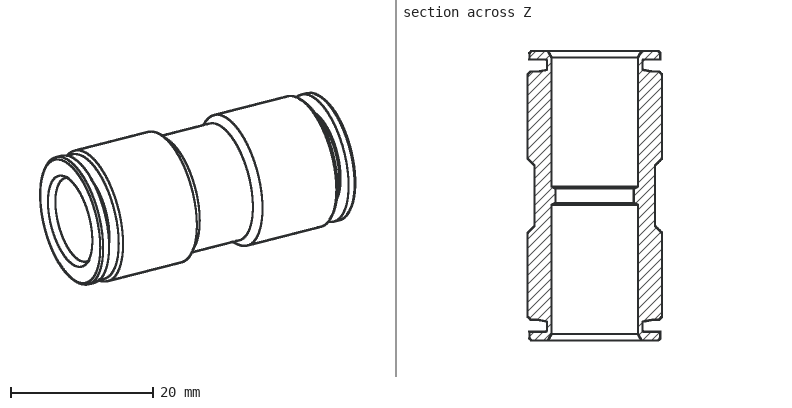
import cadquery as cq
import math

half_length = 40.8 / 2

waist_radius = 17.0 / 2
socket_radius = 19.0 / 2
waist_half_length = 4.25
shoulder_length = socket_radius - waist_radius
body_face_inset = 2.9
body_edge_chamfer = 0.45
crown_radius = 8.1
crown_height = 0.25

neck_radius = 13.5 / 2
flange_radius = 18.5 / 2
flange_thickness = 1.25
flange_chamfer = 0.3
flange_root_chamfer = 0.15

tube_radius = 12.15 / 2
stop_radius = 11.0 / 2
mouth_radius = 13.2 / 2
mouth_half_angle = 30.0
mouth_length = (mouth_radius - tube_radius) / math.tan(math.radians(mouth_half_angle))
stop_half_length = 1.0
stop_seat_angle = 30.0
stop_seat_length = (tube_radius - stop_radius) * math.tan(math.radians(stop_seat_angle))

shoulder_end = waist_half_length + shoulder_length
body_face = half_length - body_face_inset
crown_end = body_face + crown_height
flange_back = half_length - flange_thickness


def revolve_mirrored(half_profile):
    """Revolve about Y a (radius, y) profile given from the centre to the +Y end."""
    mirrored = [(radius, -y) for radius, y in reversed(half_profile)]
    profile = mirrored + half_profile
    return cq.Workplane("XY").polyline(profile).close().revolve(360, (0, 0, 0), (0, 1, 0))


def outer_shape():
    """Solid body with a release collar at each end."""
    return revolve_mirrored([
        (waist_radius, waist_half_length),
        (socket_radius, shoulder_end),
        (socket_radius, body_face - body_edge_chamfer),
        (socket_radius - body_edge_chamfer, body_face),
        (crown_radius, body_face),
        (neck_radius, crown_end),
        (neck_radius, flange_back - flange_root_chamfer),
        (neck_radius + flange_root_chamfer, flange_back),
        (flange_radius, flange_back),
        (flange_radius, half_length - flange_chamfer),
        (flange_radius - flange_chamfer, half_length),
        (0, half_length),
    ])


def bore():
    """Through bore: narrow tube stop, tube sockets and tapered mouths."""
    return revolve_mirrored([
        (stop_radius, stop_half_length),
        (tube_radius, stop_half_length + stop_seat_length),
        (tube_radius, half_length - mouth_length),
        (mouth_radius, half_length),
        (0, half_length),
    ])


result = outer_shape().cut(bore())